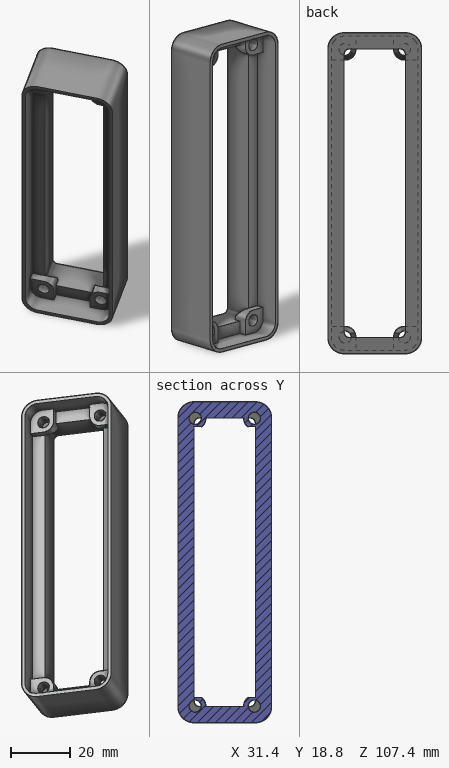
import cadquery as cq
import math

width = 31.4
depth = 18.8
height = 107.4
corner_radius = 5.5

rim_wall = 1.2
rear_wall = 5.5
ledge_y = 8.7
opening_radius = 1.7

boss_x = 9.9
boss_z = 48.1
boss_radius = 3.6
boss_front_y = 6.0
boss_length = 5.0
screw_diameter = 4.0

boss_rear_y = boss_front_y + boss_length
boss_chamfer = boss_rear_y - ledge_y


def across(y_position):
    """XZ workplane at the given Y; its normal is -Y, so negative extrusions run toward +Y."""
    return cq.Workplane("XZ", origin=(0, y_position, 0))


def rounded_block(wall, radius, y_end):
    """Block from Y = 0 to y_end, inset from the outer sides by the wall, with rounded corners."""
    block = across(0).rect(width - 2 * wall, height - 2 * wall).extrude(-y_end)
    return block.edges("|Y").fillet(radius)


def make_frame(envelope):
    """Outer block with a wide front recess and a narrower opening through the rear wall."""
    recess = rounded_block(rim_wall, corner_radius - rim_wall, ledge_y)
    opening = rounded_block(rear_wall, opening_radius, depth)
    return envelope.cut(recess).cut(opening)


def make_boss():
    """Boss of the +X +Z corner: round toward the frame centre, square toward the walls."""
    flank_x = boss_x - boss_radius
    flank_z = boss_z - boss_radius
    outer_x = width / 2
    outer_z = height / 2
    nose = boss_radius * math.cos(math.radians(45))
    body = (
        across(boss_front_y)
        .moveTo(boss_x, flank_z)
        .lineTo(outer_x, flank_z)
        .lineTo(outer_x, outer_z)
        .lineTo(flank_x, outer_z)
        .lineTo(flank_x, boss_z)
        .threePointArc((boss_x - nose, boss_z - nose), (boss_x, flank_z))
        .close()
        .extrude(-boss_length)
    )
    chamfer = (
        cq.Workplane("YZ")
        .polyline([(ledge_y, flank_z), (boss_rear_y, flank_z), (boss_rear_y, flank_z + boss_chamfer)])
        .close()
        .extrude(outer_x)
    )
    return body.cut(chamfer)


def make_screw_hole():
    """Blind hole of the +X +Z corner, as deep as the boss is long."""
    hole = across(boss_front_y).center(boss_x, boss_z)
    return hole.circle(screw_diameter / 2).extrude(-boss_length)


def four_corners(shape):
    """Copies of a +X +Z corner shape in all four corners."""
    pair = shape.union(shape.mirror("YZ"))
    return pair.union(pair.mirror("XY"))


envelope = rounded_block(0, corner_radius, depth)
bosses = four_corners(make_boss()).intersect(envelope)
screw_holes = four_corners(make_screw_hole())
result = make_frame(envelope).union(bosses).cut(screw_holes)